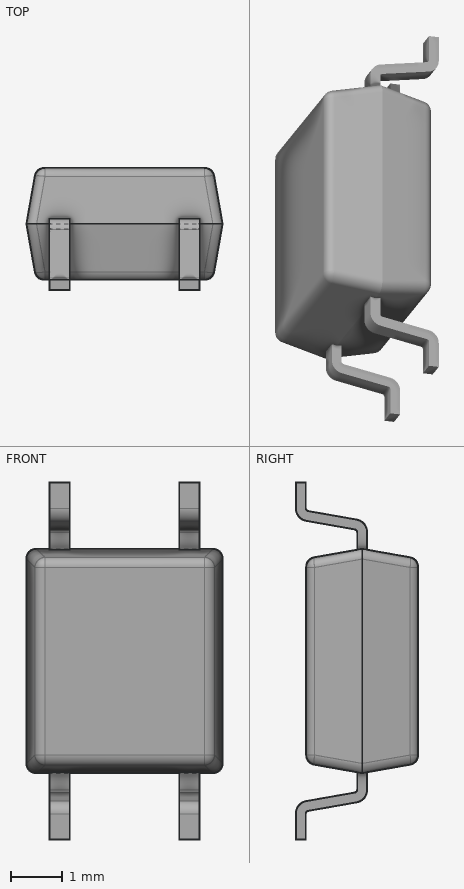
import cadquery as cq
import math

HOUSING_WIDTH = 3.85
HOUSING_DEPTH = 2.2
HOUSING_HEIGHT = 4.4
DRAFT_ANGLE = 10.0
EDGE_RADIUS = 0.2

LEAD_SPAN = 7.0
LEAD_PITCH = 2.54
LEAD_WIDTH = 0.4
LEAD_THICKNESS = 0.2
FOOT_LENGTH = 0.51
SLOPE_ANGLE = 10.0
INNER_BEND_RADIUS = 0.05
OUTER_BEND_RADIUS = INNER_BEND_RADIUS + LEAD_THICKNESS


def make_housing():
    front_half = (
        cq.Workplane("XZ")
        .rect(HOUSING_WIDTH, HOUSING_HEIGHT)
        .extrude(HOUSING_DEPTH / 2, taper=DRAFT_ANGLE)
    )
    front_half = front_half.edges("not(>Y)").fillet(EDGE_RADIUS)
    return front_half.union(front_half.mirror("XZ"))


def make_upper_lead(x_center):
    """Lead that leaves the housing top at Y = 0 and bends toward -Y, then up."""
    half_thickness = LEAD_THICKNESS / 2
    half_bend = math.radians(90 - SLOPE_ANGLE) / 2

    foot_y = -(HOUSING_DEPTH / 2 + half_thickness)
    tip_z = LEAD_SPAN / 2
    foot_bend_z = tip_z - FOOT_LENGTH - (INNER_BEND_RADIUS + half_thickness) * math.tan(half_bend)
    root_bend_z = foot_bend_z + foot_y * math.tan(math.radians(SLOPE_ANGLE))

    miter_z = half_thickness * math.tan(half_bend)
    foot_outer = (foot_y - half_thickness, foot_bend_z - miter_z)
    foot_inner = (foot_y + half_thickness, foot_bend_z + miter_z)
    root_outer = (half_thickness, root_bend_z + miter_z)
    root_inner = (-half_thickness, root_bend_z - miter_z)

    root_z = HOUSING_HEIGHT / 2 - LEAD_THICKNESS
    lead = (
        cq.Workplane("YZ", origin=(x_center, 0, 0))
        .polyline([
            (half_thickness, root_z),
            root_outer,
            foot_inner,
            (foot_y + half_thickness, tip_z),
            (foot_y - half_thickness, tip_z),
            foot_outer,
            root_inner,
            (-half_thickness, root_z),
        ])
        .close()
        .extrude(LEAD_WIDTH / 2, both=True)
    )
    bends = [
        (foot_outer, OUTER_BEND_RADIUS),
        (foot_inner, INNER_BEND_RADIUS),
        (root_outer, OUTER_BEND_RADIUS),
        (root_inner, INNER_BEND_RADIUS),
    ]
    for (y, z), radius in bends:
        corner_edge = cq.selectors.NearestToPointSelector((x_center, y, z))
        lead = lead.edges("|X").edges(corner_edge).fillet(radius)
    return lead


housing = make_housing()

leads = []
for x_center in (-LEAD_PITCH / 2, LEAD_PITCH / 2):
    upper_lead = make_upper_lead(x_center).cut(housing)
    leads.append(upper_lead)
    leads.append(upper_lead.mirror("XY"))

result = cq.Compound.makeCompound([housing.solids().val(), *[lead.solids().val() for lead in leads]])